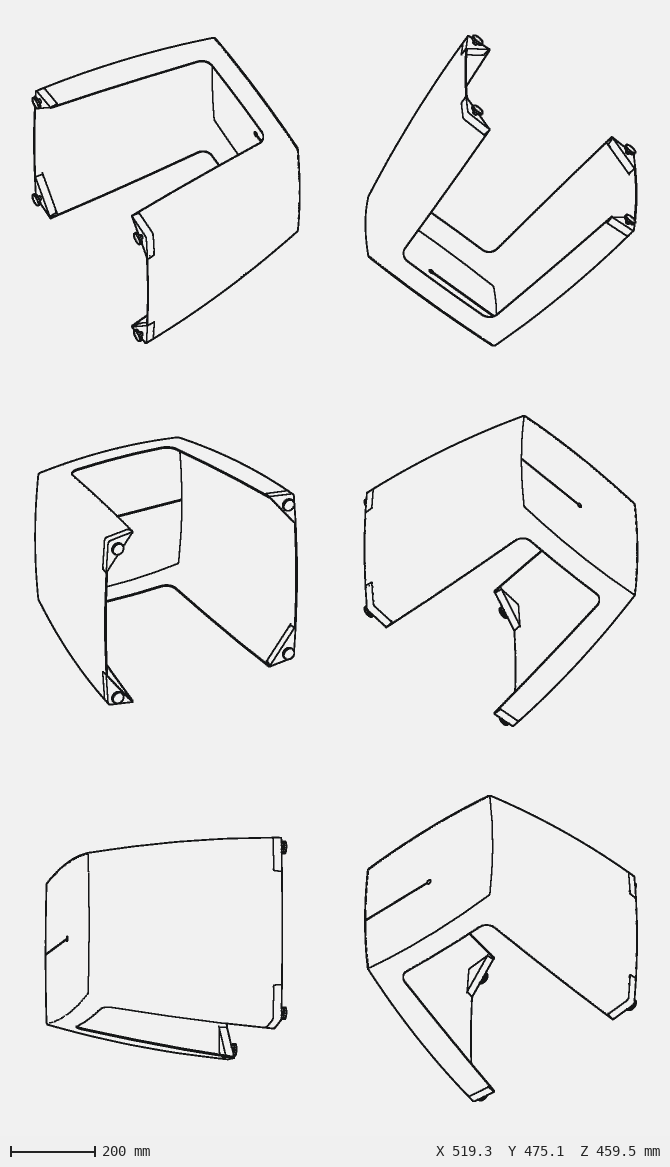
import cadquery as cq

LEG_END = 0.0
HOUSING_HEIGHT = 461.09
WALL = 3.0
STATIONS = 5
END_HALF_X = 250.5
END_HALF_Z = 220.5
DRAFT_X = 0.065
DRAFT_Z = 0.0275
CURVE_X = 0.000142
CURVE_Z = 0.000173
SIDE_BULGE = 9.13
FACE_BULGE_LEGS = 20.0
FACE_BULGE_MIDDLE = 7.0
FACE_BULGE_SEAT = 14.0
CORNER_RADIUS = 8.0
SEAT_EDGE_RADIUS = 6.0

OPENING_HALF_X = 184.0
OPENING_RISE = 406.0
OPENING_DRAFT = 0.117
OPENING_RADIUS = 27.0

RECESS_DIAMETER = 12.0
GROOVE_WIDTH = 2.0
RECESS_DEPTH = 1.5

BLOCK_HEIGHT = 20.0
BLOCK_TIP_X = OPENING_HALF_X
BLOCK_TIP_Z = 230.0
BLOCK_SIDE_X = 256.0
BLOCK_SIDE_Z = 137.0

FOOT_X = 230.5
FOOT_Z = 200.5
FOOT_LENGTH = 14.0
SHANK_DIAMETER = 10.0
PAD_DIAMETER = 29.0
PAD_THICKNESS = 6.0
PAD_SIDES = 16

REACH = 300.0


def corner_half_x(rise):
    return END_HALF_X - DRAFT_X * rise - CURVE_X * rise ** 2


def corner_half_z(rise):
    return END_HALF_Z - DRAFT_Z * rise - CURVE_Z * rise ** 2


def face_bulge(rise):
    """Crown of the Z faces: a parabola through its values at the legs, half height and seat."""
    u = rise / HOUSING_HEIGHT
    legs_part = FACE_BULGE_LEGS * (1 - u) * (1 - 2 * u)
    middle_part = FACE_BULGE_MIDDLE * 4 * u * (1 - u)
    seat_part = FACE_BULGE_SEAT * u * (2 * u - 1)
    return legs_part + middle_part + seat_part


def cross_section(rise, inset):
    """Wire of the crowned, tapered rectangle at one rise, moved inwards by the inset."""
    half_x = corner_half_x(rise) - inset
    half_z = corner_half_z(rise) - inset
    y = LEG_END + rise
    crown_x = half_x + SIDE_BULGE
    crown_z = half_z + face_bulge(rise)
    return cq.Wire.assembleEdges([
        cq.Edge.makeThreePointArc(cq.Vector(*a), cq.Vector(*b), cq.Vector(*c))
        for a, b, c in [
            ((-half_x, y, -half_z), (0, y, -crown_z), (half_x, y, -half_z)),
            ((half_x, y, -half_z), (crown_x, y, 0), (half_x, y, half_z)),
            ((half_x, y, half_z), (0, y, crown_z), (-half_x, y, half_z)),
            ((-half_x, y, half_z), (-crown_x, y, 0), (-half_x, y, -half_z)),
        ]
    ])


def tapered_body(height, inset, corner_radius):
    """Solid through the cross-sections, with its four long edges rounded."""
    rises = [height * i / (STATIONS - 1) for i in range(STATIONS)]
    body = cq.Solid.makeLoft([cross_section(rise, inset) for rise in rises])
    long_edges = [e for e in body.Edges() if e.BoundingBox().ylen > height / 2]
    return cq.Workplane(body.fillet(corner_radius, long_edges))


def make_envelope():
    envelope = tapered_body(HOUSING_HEIGHT, 0, CORNER_RADIUS)
    return envelope.faces(">Y").edges().fillet(SEAT_EDGE_RADIUS)


def make_cavity():
    return tapered_body(HOUSING_HEIGHT - WALL, WALL, CORNER_RADIUS - WALL)


def make_opening():
    top_half_x = OPENING_HALF_X - OPENING_DRAFT * OPENING_RISE
    top_y = LEG_END + OPENING_RISE
    return (
        cq.Workplane("XY")
        .moveTo(-OPENING_HALF_X, LEG_END)
        .lineTo(-top_half_x, top_y)
        .lineTo(top_half_x, top_y)
        .lineTo(OPENING_HALF_X, LEG_END)
        .close()
        .extrude(REACH, both=True)
        .edges("|Z and >Y")
        .fillet(OPENING_RADIUS)
    )


def make_seat_recess():
    """Shallow round recess at the centre, with a groove to the +X side wall."""
    seat_rise = HOUSING_HEIGHT - WALL
    plane = cq.Workplane("XZ", origin=(0, LEG_END + seat_rise, 0))
    groove_end = corner_half_x(seat_rise) - WALL + SIDE_BULGE
    recess = plane.circle(RECESS_DIAMETER / 2).extrude(-RECESS_DEPTH)
    groove = plane.center(groove_end / 2, 0).rect(groove_end, GROOVE_WIDTH).extrude(-RECESS_DEPTH)
    return recess.union(groove)


def make_corner_zone(side_x, side_z):
    """Triangular prism at one leg end, reaching past the outer walls."""
    slope = (BLOCK_TIP_Z - BLOCK_SIDE_Z) / (BLOCK_SIDE_X - BLOCK_TIP_X)
    outer_x = BLOCK_TIP_X + (BLOCK_TIP_Z - REACH) / slope
    outer_z = BLOCK_TIP_Z - slope * (REACH - BLOCK_TIP_X)
    points = [(outer_x, REACH), (REACH, REACH), (REACH, outer_z)]
    return (
        cq.Workplane("XZ", origin=(0, LEG_END, 0))
        .polyline([(side_x * x, side_z * z) for x, z in points])
        .close()
        .extrude(-BLOCK_HEIGHT)
    )


def make_foot(side_x, side_z):
    """Shank that touches the corner block, with a faceted pad at its end."""
    shank_length = FOOT_LENGTH - PAD_THICKNESS
    plane = cq.Workplane("XZ", origin=(side_x * FOOT_X, LEG_END, side_z * FOOT_Z))
    shank = plane.circle(SHANK_DIAMETER / 2).extrude(shank_length)
    pad = (
        plane.workplane(offset=shank_length)
        .transformed(rotate=(0, 0, 180 / PAD_SIDES))
        .polygon(PAD_SIDES, PAD_DIAMETER)
        .extrude(PAD_THICKNESS)
    )
    return shank.union(pad)


envelope = make_envelope()
opening = make_opening()
leg_envelope = envelope.cut(opening)
housing = leg_envelope.cut(make_cavity()).cut(make_seat_recess())

blocks = []
feet = []
for side_x in (-1, 1):
    for side_z in (-1, 1):
        zone = make_corner_zone(side_x, side_z)
        blocks.append(leg_envelope.intersect(zone))
        housing = housing.cut(zone)
        feet.append(make_foot(side_x, side_z))

bodies = [housing, *blocks, *feet]
result = cq.Compound.makeCompound([body.val() for body in bodies])